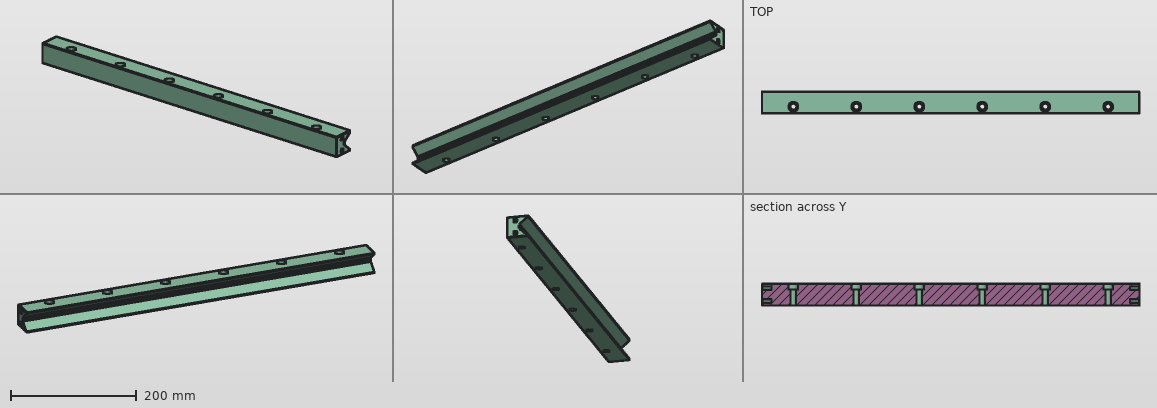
import cadquery as cq

LENGTH = 600.0
SIDE = 35.0
EDGE_CHAMFER = 1.3

LIP = 2.0
ROOT_DEPTH = 14.0
ROOT_HALF_WIDTH = 3.75
RELIEF_HALF_WIDTH = 1.0
RELIEF_DEPTH = 2.0

HOLE_COUNT = 6
HOLE_PITCH = LENGTH / HOLE_COUNT
HOLE_Y = -6.5
HOLE_DIAMETER = 10.0
COUNTERBORE_DIAMETER = 15.0
COUNTERBORE_DEPTH = 9.0

END_HOLE_DIAMETER = 5.0
END_HOLE_DEPTH = 15.0
END_COUNTERSINK = 0.8
END_HOLE_Y = -3.5
END_HOLE_SPACING = 20.5

HALF_LENGTH = LENGTH / 2
HALF_SIDE = SIDE / 2


def bar():
    """Square bar with chamfers on the front edges and around the +X end."""
    block = cq.Workplane("XY").box(LENGTH, SIDE, SIDE)
    return block.edges("(<Y and |X) or >X").chamfer(EDGE_CHAMFER)


def v_groove():
    """Cutter for the V groove, its flat root and its relief slot."""
    mouth = HALF_SIDE - LIP
    root_y = HALF_SIDE - ROOT_DEPTH
    vee = (
        cq.Workplane("YZ")
        .moveTo(HALF_SIDE, mouth)
        .lineTo(root_y, ROOT_HALF_WIDTH)
        .lineTo(root_y, -ROOT_HALF_WIDTH)
        .lineTo(HALF_SIDE, -mouth)
        .close()
        .extrude(HALF_LENGTH, both=True)
    )
    relief = (
        cq.Workplane("YZ")
        .center(root_y, 0)
        .rect(2 * RELIEF_DEPTH, 2 * RELIEF_HALF_WIDTH)
        .extrude(HALF_LENGTH, both=True)
    )
    return vee.union(relief)


def mounting_holes():
    """Cutter for the row of counterbored through holes."""
    through = (
        cq.Workplane("XY", origin=(0, HOLE_Y, 0))
        .rarray(HOLE_PITCH, 1, HOLE_COUNT, 1)
        .circle(HOLE_DIAMETER / 2)
        .extrude(HALF_SIDE, both=True)
    )
    counterbores = (
        cq.Workplane("XY", origin=(0, HOLE_Y, HALF_SIDE))
        .rarray(HOLE_PITCH, 1, HOLE_COUNT, 1)
        .circle(COUNTERBORE_DIAMETER / 2)
        .extrude(-COUNTERBORE_DEPTH)
    )
    return through.union(counterbores)


def end_holes(end):
    """Cutter for the pair of countersunk blind holes in one end face; end is -1 or +1."""
    radius = END_HOLE_DIAMETER / 2
    hole = (
        cq.Workplane("XY")
        .lineTo(0, radius + END_COUNTERSINK)
        .lineTo(END_COUNTERSINK, radius)
        .lineTo(END_HOLE_DEPTH, radius)
        .lineTo(END_HOLE_DEPTH, 0)
        .close()
        .revolve(360, (0, 0, 0), (1, 0, 0))
    )
    if end > 0:
        hole = hole.mirror("YZ")
    upper = hole.translate((end * HALF_LENGTH, END_HOLE_Y, END_HOLE_SPACING / 2))
    return upper.union(upper.mirror("XY"))


result = bar().cut(v_groove()).cut(mounting_holes())
for end in (-1, 1):
    result = result.cut(end_holes(end))